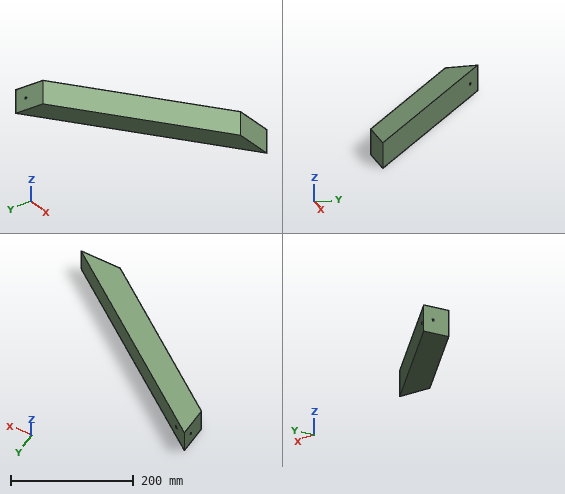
import cadquery as cq
import math

span_x = 346.0
span_y = 255.31
beam_size = 44.0
hole_diameter = 3.5
hole_from_upper_corner = 20.5

brace_angle = math.atan2(span_y, span_x)
end_face_y = beam_size / math.cos(brace_angle)
end_face_x = beam_size / math.sin(brace_angle)


def make_brace():
    """Square beam running diagonally, mitred flush to the X and Y directions."""
    outline = [
        (0, span_y),
        (0, span_y - end_face_y),
        (span_x - end_face_x, 0),
        (span_x, 0),
    ]
    return cq.Workplane("XY").polyline(outline).close().extrude(beam_size)


def make_screw_hole():
    """Cylinder along X, from the end face out through the long sloping side."""
    return (
        cq.Workplane("YZ")
        .center(span_y - hole_from_upper_corner, beam_size / 2)
        .circle(hole_diameter / 2)
        .extrude(span_x)
    )


result = make_brace().cut(make_screw_hole())